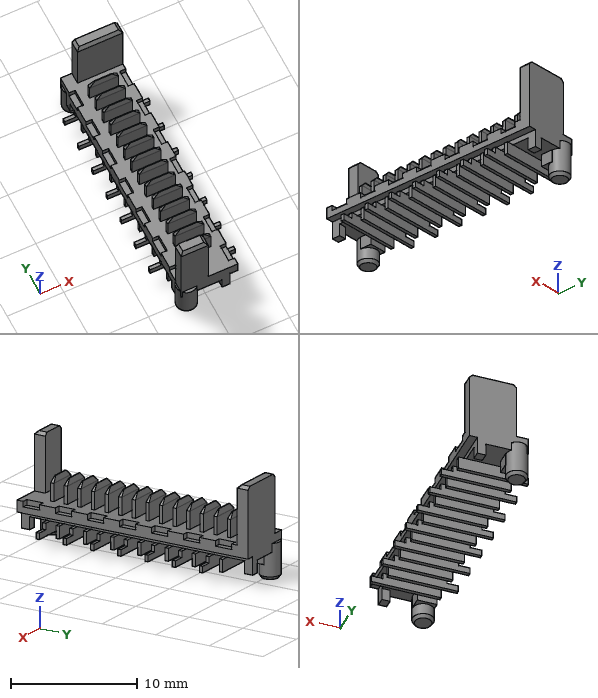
import cadquery as cq


OVERALL_LENGTH = 22.17

BODY_WIDTH = 5.0
BODY_LENGTH = 21.6
BODY_BOTTOM = 1.09
BODY_TOP = 2.55
SIDE_X = BODY_WIDTH / 2
END_Y = BODY_LENGTH / 2
REBATE_WIDTH = 0.69
REBATE_TOP = 1.55

NOTCH_COUNT = 7
NOTCH_PITCH = 3.0
NOTCH_LENGTH = 1.5
NOTCH_DEPTH = 0.47
NOTCH_WIDTH = 0.53
NOTCH_ROW_CENTER = -0.47

POST_TOP = 7.58
POST_THICKNESS = 1.02
POST_CHAMFER = 0.27
FRONT_POST_WIDTH = 2.4
BACK_POST_WIDTH = 4.01

PEG_DIAMETER = 1.8
PEG_BOTTOM = -1.26
PEG_TOP = 1.82
PEG_TIP_CHAMFER_HEIGHT = 0.29
PEG_TIP_CHAMFER_WIDTH = 0.2
PEG_X = -1.75
PEG_Y = (OVERALL_LENGTH - PEG_DIAMETER) / 2

INNER_FOOT_WIDTH = 1.68
INNER_FOOT_END = 1.73
OUTER_FOOT_WIDTH = 0.7
OUTER_FOOT_LENGTH = 0.78

CONTACT_COUNT = 14
CONTACT_ROW_LENGTH = 16.52
CONTACT_PITCH = CONTACT_ROW_LENGTH / (CONTACT_COUNT - 1)
CONTACT_THICKNESS = 0.3
CONTACT_BAR_WIDTH = 4.97
SOLDER_SPAN = 6.9
SOLDER_FOOT_HEIGHT = 0.55
BLADE_LEFT = -1.26
BLADE_RIGHT = 1.29
BLADE_TOP = 4.6
BLADE_SHOULDER = 4.08
BLADE_END_TAPER = 0.5
BLADE_TIP_THICKNESS = 0.07


def block(x0, x1, y0, y1, z0, z1):
    """Axis-aligned box between two opposite corners."""
    return cq.Workplane("XY").box(x1 - x0, y1 - y0, z1 - z0, centered=False).translate((x0, y0, z0))


def body():
    slab = block(-SIDE_X, SIDE_X, -END_Y, END_Y, BODY_BOTTOM, BODY_TOP)
    slab = slab.cut(block(SIDE_X - REBATE_WIDTH, SIDE_X, -END_Y, END_Y, BODY_BOTTOM, REBATE_TOP))
    floor = BODY_TOP - NOTCH_DEPTH
    for index in range(NOTCH_COUNT):
        middle = NOTCH_ROW_CENTER + (index - (NOTCH_COUNT - 1) / 2) * NOTCH_PITCH
        y0 = middle - NOTCH_LENGTH / 2
        y1 = middle + NOTCH_LENGTH / 2
        slab = slab.cut(block(-SIDE_X, -SIDE_X + NOTCH_WIDTH, y0, y1, floor, BODY_TOP))
        slab = slab.cut(block(SIDE_X - NOTCH_WIDTH, SIDE_X, y0, y1, floor, BODY_TOP))
    return slab


def post(x0, x1, y0):
    """End post rising through the body, its top chamfered on every side but +Y."""
    column = block(x0, x1, y0, y0 + POST_THICKNESS, REBATE_TOP, POST_TOP)
    return column.faces(">Z").edges("<X or >X or <Y").chamfer(POST_CHAMFER)


def peg(y):
    radius = PEG_DIAMETER / 2
    profile = [
        (0, PEG_BOTTOM),
        (radius - PEG_TIP_CHAMFER_WIDTH, PEG_BOTTOM),
        (radius, PEG_BOTTOM + PEG_TIP_CHAMFER_HEIGHT),
        (radius, PEG_TOP),
        (0, PEG_TOP),
    ]
    return cq.Workplane("XZ").polyline(profile).close().revolve(360, (0, 0), (0, 1)).translate((PEG_X, y, 0))


def end_feet():
    """Standoffs at the -Y end: one behind the peg, one beside the rebate."""
    inner = block(-SIDE_X, -SIDE_X + INNER_FOOT_WIDTH, -PEG_Y, -END_Y + INNER_FOOT_END, 0, BODY_BOTTOM)
    outer_x = SIDE_X - REBATE_WIDTH
    outer = block(outer_x - OUTER_FOOT_WIDTH, outer_x, -END_Y, -END_Y + OUTER_FOOT_LENGTH, 0, BODY_BOTTOM)
    return inner.union(outer)


def contact(y, side):
    """Tapered blade above the body and a stepped solder foot on the given X side (-1 or +1)."""
    half = CONTACT_THICKNESS / 2
    half_tip = BLADE_TIP_THICKNESS / 2
    broad_outline = [
        (BLADE_LEFT, BODY_BOTTOM),
        (BLADE_RIGHT, BODY_BOTTOM),
        (BLADE_RIGHT, BLADE_SHOULDER),
        (BLADE_RIGHT - BLADE_END_TAPER, BLADE_TOP),
        (BLADE_LEFT + BLADE_END_TAPER, BLADE_TOP),
        (BLADE_LEFT, BLADE_SHOULDER),
    ]
    edge_outline = [
        (-half, BODY_BOTTOM),
        (half, BODY_BOTTOM),
        (half, BLADE_SHOULDER),
        (half_tip, BLADE_TOP),
        (-half_tip, BLADE_TOP),
        (-half, BLADE_SHOULDER),
    ]
    blade = cq.Workplane("XZ").polyline(broad_outline).close().extrude(half, both=True)
    wedge = cq.Workplane("YZ").polyline(edge_outline).close().extrude(SIDE_X, both=True)
    bar = block(-CONTACT_BAR_WIDTH / 2, CONTACT_BAR_WIDTH / 2, -half, half, 0, BODY_BOTTOM)
    tip_x = side * SOLDER_SPAN / 2
    foot = block(min(0, tip_x), max(0, tip_x), -half, half, 0, SOLDER_FOOT_HEIGHT)
    return blade.intersect(wedge).union(bar).union(foot).translate((0, y, 0))


result = body()
result = result.union(post(-SIDE_X, -SIDE_X + FRONT_POST_WIDTH, -END_Y))
result = result.union(post(SIDE_X - BACK_POST_WIDTH, SIDE_X, END_Y - POST_THICKNESS))
result = result.union(end_feet()).union(end_feet().mirror("XZ"))
for peg_y in (-PEG_Y, PEG_Y):
    result = result.union(peg(peg_y))
for contact_index in range(CONTACT_COUNT):
    contact_y = (contact_index - (CONTACT_COUNT - 1) / 2) * CONTACT_PITCH
    foot_side = 1 if contact_index % 2 == 0 else -1
    result = result.union(contact(contact_y, foot_side))